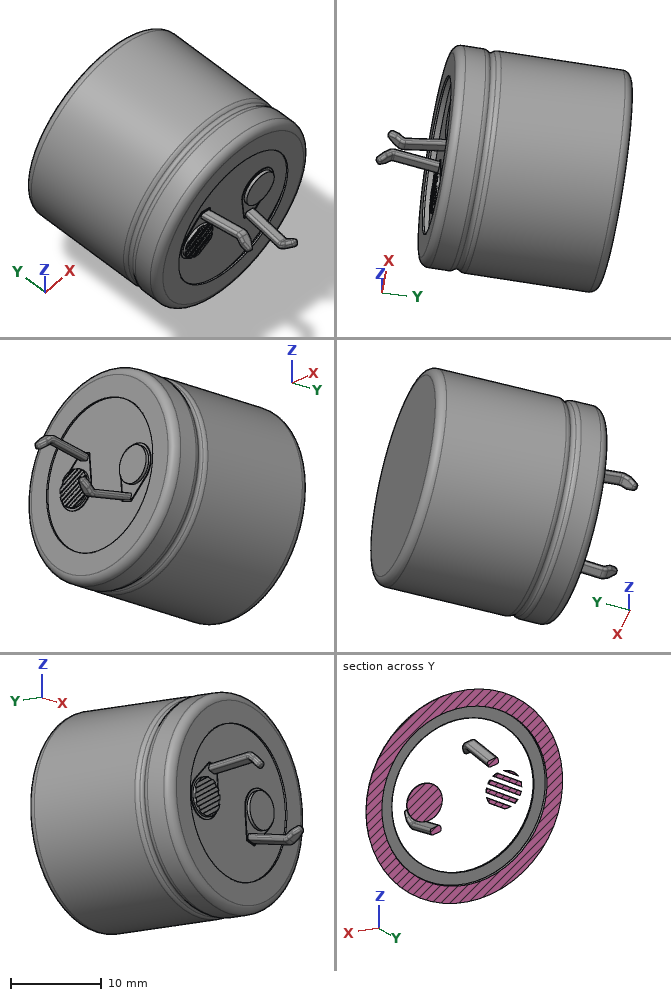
import cadquery as cq
import math

can_diameter = 25.0
can_length = 20.0
can_rim_fillet = 1.0
overall_length = 26.15

groove_y = 4.15
groove_half_width = 0.875
groove_inner_radius = 0.5
groove_lip_radius = 0.84
groove_cut_clearance = 0.25

lip_diameter = 17.85
lip_thickness = 0.2
cavity_diameter = 20.7
floor_y = 1.0

terminal_offset = 5.0
tab_diameter = 5.07
tab_thickness = 0.1
tab_top_y = floor_y - tab_thickness
rivet_diameter = 4.5
rivet_height = 0.4
rivet_top_y = tab_top_y - rivet_height

stripe_count = 5
stripe_pitch = 1.0
stripe_width = stripe_pitch / 2
stripe_depth = 0.13
stripe_angle = 26.0
stripe_shift = -0.24

lead_x = -3.58
lead_z = 3.5
lead_turn = 16.0
lead_width = 1.4
lead_thickness = 0.8
lead_edge_fillet = 0.3
lead_lean = 9.0
lead_tip_lean = 40.0
lead_bend_y = 4.25
tip_width = 0.47
tip_taper_length = 1.05


def end_plane(y):
    """Sketch plane across the can at height y, facing away from the body."""
    return cq.Workplane(cq.Plane(origin=(0, y, 0), xDir=(1, 0, 0), normal=(0, -1, 0)))


def make_can():
    body = end_plane(can_length).circle(can_diameter / 2).extrude(can_length)
    body = body.faces("<Y or >Y").edges().fillet(can_rim_fillet)
    cavity = end_plane(floor_y).circle(cavity_diameter / 2).extrude(floor_y - lip_thickness)
    opening = end_plane(floor_y).circle(lip_diameter / 2).extrude(floor_y)
    return body.cut(cavity).cut(opening)


def make_groove():
    """Ring with a concave bottom that runs tangent into two convex lips."""
    lean = math.asin(groove_half_width / (groove_inner_radius + groove_lip_radius))
    depth = (groove_inner_radius + groove_lip_radius) * (1 - math.cos(lean))
    outer = can_diameter / 2
    bottom = outer - depth
    joint_y = groove_inner_radius * math.sin(lean)
    joint_r = bottom + groove_inner_radius * (1 - math.cos(lean))
    lip_mid_y = groove_half_width - groove_lip_radius * math.sin(lean / 2)
    lip_mid_r = outer - groove_lip_radius * (1 - math.cos(lean / 2))
    return (
        cq.Workplane("XY")
        .moveTo(outer, groove_y - groove_half_width)
        .threePointArc((lip_mid_r, groove_y - lip_mid_y), (joint_r, groove_y - joint_y))
        .threePointArc((bottom, groove_y), (joint_r, groove_y + joint_y))
        .threePointArc((lip_mid_r, groove_y + lip_mid_y), (outer, groove_y + groove_half_width))
        .lineTo(outer + groove_cut_clearance, groove_y + groove_half_width)
        .lineTo(outer + groove_cut_clearance, groove_y - groove_half_width)
        .close()
        .revolve(360, (0, 0, 0), (0, 1, 0))
    )


def lead_frame(y):
    """Plane at height y through the lead root: local x across the wire, local y outwards."""
    turn = math.radians(lead_turn)
    return cq.Plane(
        origin=(lead_x, y, lead_z), xDir=(math.cos(turn), 0, -math.sin(turn)), normal=(0, -1, 0)
    )


def make_tab():
    """Teardrop plate: a circle with two straight sides running to the outer corners of the lead."""
    centre = cq.Vector(-terminal_offset, floor_y, 0)
    radius = tab_diameter / 2
    frame = lead_frame(floor_y)
    corners = []
    tangents = []
    for side in (-1, 1):
        corner = frame.toWorldCoords((side * lead_width / 2, lead_thickness / 2, 0))
        reach = corner - centre
        heading = math.atan2(reach.z, reach.x) - side * math.acos(radius / reach.Length)
        corners.append((corner.x, corner.z))
        tangents.append((centre.x + radius * math.cos(heading), radius * math.sin(heading)))
    points = [tangents[0], corners[0], corners[1], tangents[1], (centre.x, centre.z)]
    tail = end_plane(floor_y).polyline(points).close().extrude(tab_thickness)
    head = end_plane(floor_y).center(centre.x, 0).circle(radius).extrude(tab_thickness)
    return head.union(tail)


def make_rivet():
    return end_plane(tab_top_y).center(-terminal_offset, 0).circle(rivet_diameter / 2).extrude(rivet_height)


def make_lead():
    """Wire profile in the plane of its bend, extruded across its width and tapered at the tip."""
    lean = math.radians(lead_lean)
    tip_lean = math.radians(lead_tip_lean)
    half = lead_thickness / 2
    root_y = floor_y + lead_edge_fillet
    tip_rounding_loss = lead_edge_fillet * (math.sin(tip_lean) + math.cos(tip_lean) - 1)
    tip_y = overall_length - can_length + tip_rounding_loss
    frame = lead_frame(0)
    side_plane = cq.Plane(origin=frame.origin, xDir=(0, -1, 0), normal=frame.xDir.multiply(-1))

    inner = (lead_bend_y + half * math.sin(lean), lead_bend_y * math.tan(lean) - half * math.cos(lean))

    def across_bend(angle):
        """Point on the outer side of the bend, one wire thickness from the inner corner."""
        return (
            inner[0] + lead_thickness * math.sin(angle),
            inner[1] + lead_thickness * math.cos(angle),
        )

    outer_start = across_bend(-lean)
    outer_mid = across_bend((tip_lean - lean) / 2)
    outer_end = across_bend(tip_lean)
    tip_run = tip_y - outer_end[0]
    tip_drop = -tip_run * math.tan(tip_lean)
    root_middle = -root_y * math.tan(lean)
    root_half_height = half / math.cos(lean)
    profile = (
        cq.Workplane(side_plane)
        .moveTo(-root_y, root_middle - root_half_height)
        .lineTo(*inner)
        .lineTo(inner[0] + tip_run, inner[1] + tip_drop)
        .lineTo(outer_end[0] + tip_run, outer_end[1] + tip_drop)
        .lineTo(*outer_end)
        .threePointArc(outer_mid, outer_start)
        .lineTo(-root_y, root_middle + root_half_height)
        .close()
        .extrude(lead_width / 2, both=True)
    )
    taper_y = tip_y - tip_taper_length
    outline = (
        cq.Workplane(frame.rotated((90, 0, 0)))
        .moveTo(-lead_width / 2, -root_y)
        .lineTo(lead_width / 2, -root_y)
        .lineTo(lead_width / 2, taper_y)
        .lineTo(tip_width / 2, tip_y)
        .lineTo(-tip_width / 2, tip_y)
        .lineTo(-lead_width / 2, taper_y)
        .close()
        .extrude(overall_length, both=True)
    )
    return profile.intersect(outline).edges().fillet(lead_edge_fillet)


def make_stripes():
    """Parallel bars that cut the grooves across the negative rivet head."""
    stripes = end_plane(rivet_top_y + stripe_depth).center(-terminal_offset, 0)
    stripes = stripes.transformed(rotate=(0, 0, stripe_angle)).center(0, stripe_shift)
    stripes = stripes.rarray(0.25, stripe_pitch, 1, stripe_count).rect(tab_diameter, stripe_width)
    return stripes.extrude(stripe_depth)


terminal = make_tab().union(make_rivet()).union(make_lead())
positive = terminal.rotate((0, 0, 0), (0, 1, 0), 180)
negative = terminal.cut(make_stripes())
result = make_can().cut(make_groove()).union(negative).union(positive)